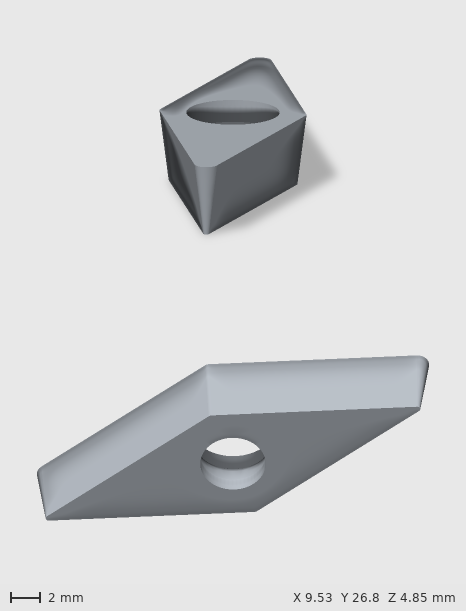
import cadquery as cq
import math

length = 26.78
width = 9.53
thickness = 4.85

half_angle = math.radians(35.0 / 2)
relief_angle = math.radians(7.0)
blunt_radius = 0.4

seat_diameter = 6.27
seat_depth = 1.6
ledge_width = 0.15
ledge_drop = 0.08
hole_diameter = 4.4
bowl_depth = 2.15

inscribed_radius = width / 2
tip_radius = (inscribed_radius / math.tan(half_angle) - length / 2) / (1 / math.tan(half_angle) - 1)
tip_center_x = inscribed_radius - tip_radius
tip_center_y = length / 2 - tip_radius


def on_circle(center_x, center_y, radius, angle):
    return (center_x + radius * math.cos(angle), center_y + radius * math.sin(angle))


def opposite(point):
    return (-point[0], -point[1])


def diamond(z, inset):
    """Closed outline at height z, with its straight sides moved inward by inset."""
    side = inscribed_radius - inset
    radius = tip_radius - inset
    slant = 2 * half_angle
    blunt_x = side - blunt_radius
    blunt_y = blunt_x * math.tan(half_angle)

    blunt_start = on_circle(blunt_x, blunt_y, blunt_radius, 0)
    blunt_middle = on_circle(blunt_x, blunt_y, blunt_radius, half_angle)
    blunt_end = on_circle(blunt_x, blunt_y, blunt_radius, slant)
    tip_start = on_circle(-tip_center_x, tip_center_y, radius, slant)
    tip_middle = on_circle(-tip_center_x, tip_center_y, radius, math.pi / 2 + half_angle)
    tip_end = on_circle(-tip_center_x, tip_center_y, radius, math.pi)

    return (
        cq.Workplane("XY", origin=(0, 0, z))
        .moveTo(*blunt_start)
        .threePointArc(blunt_middle, blunt_end)
        .lineTo(*tip_start)
        .threePointArc(tip_middle, tip_end)
        .lineTo(*opposite(blunt_start))
        .threePointArc(opposite(blunt_middle), opposite(blunt_end))
        .lineTo(*opposite(tip_start))
        .threePointArc(opposite(tip_middle), opposite(tip_end))
        .close()
        .val()
    )


def insert_body():
    """Diamond block whose flanks lean inward toward the bottom."""
    relief_inset = thickness * math.tan(relief_angle)
    return cq.Workplane(
        cq.Solid.makeLoft([diamond(0, relief_inset), diamond(thickness, 0)], True)
    )


def screw_hole():
    """Revolved cutter: straight seat, narrow sloped ledge, flared bowl, then a straight through hole."""
    seat_radius = seat_diameter / 2
    bowl_radius = seat_radius - ledge_width
    hole_radius = hole_diameter / 2
    bowl_top = thickness - seat_depth
    bowl_bottom = bowl_top - bowl_depth
    return (
        cq.Workplane("XZ")
        .moveTo(0, 0)
        .lineTo(hole_radius, 0)
        .lineTo(hole_radius, bowl_bottom)
        .tangentArcPoint((bowl_radius, bowl_top), relative=False)
        .lineTo(seat_radius, bowl_top + ledge_drop)
        .lineTo(seat_radius, thickness)
        .lineTo(0, thickness)
        .close()
        .revolve(360, (0, 0, 0), (0, 1, 0))
    )


result = insert_body().cut(screw_hole())